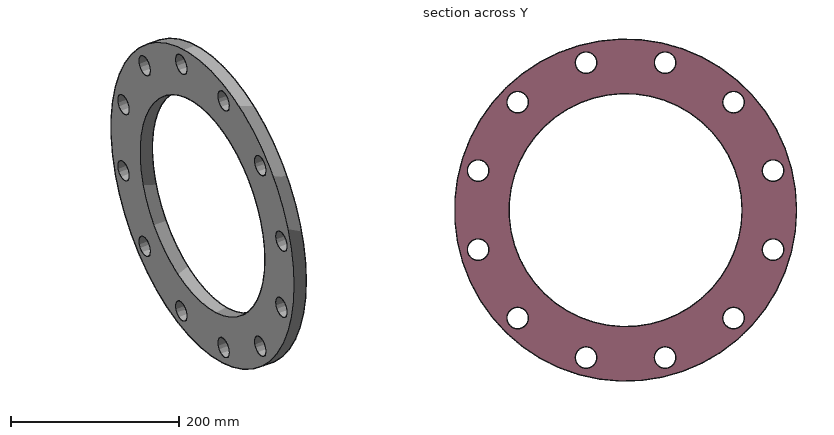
import cadquery as cq

outer_diameter = 406.5
bore_diameter = 276.5
thickness = 17.5

bolt_count = 12
bolt_hole_diameter = 25.0
bolt_circle_diameter = 362.5
first_bolt_angle = 360 / bolt_count / 2


def make_ring():
    """Ring centred on the origin, with half its thickness on each side of the XZ plane."""
    return (
        cq.Workplane("XZ", origin=(0, thickness / 2, 0))
        .circle(outer_diameter / 2)
        .circle(bore_diameter / 2)
        .extrude(thickness)
    )


def make_bolt_holes():
    """Cylinders that cut the bolt holes through the full thickness."""
    return (
        cq.Workplane("XZ", origin=(0, thickness / 2, 0))
        .polarArray(bolt_circle_diameter / 2, first_bolt_angle, 360, bolt_count)
        .circle(bolt_hole_diameter / 2)
        .extrude(thickness)
    )


result = make_ring().cut(make_bolt_holes())